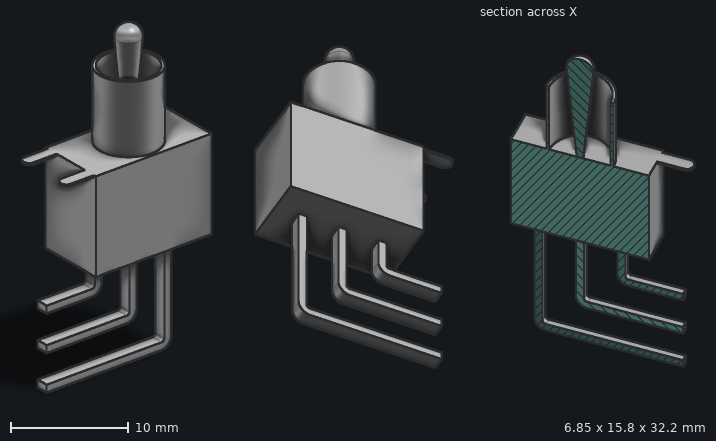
import cadquery as cq

BLOCK_WIDTH = 6.85
BLOCK_LENGTH = 12.7
BLOCK_BOTTOM = 11.25
BLOCK_TOP = 20.93

BARREL_DIAMETER = 6.2
BORE_DIAMETER = 5.6
BARREL_TOP = 28.18
BARREL_HEIGHT = BARREL_TOP - BLOCK_TOP

TOTAL_LENGTH = 15.8
BLOCK_FRONT = -BLOCK_LENGTH / 2
FRONT_END = BLOCK_LENGTH / 2 - TOTAL_LENGTH

TAB_WIDTH = 1.25
TAB_THICKNESS = 0.2
TAB_OFFSET = 2.55

LEVER_TOP = 32.2
BALL_RADIUS = 1.25
SHANK_FOOT_RADIUS = 0.32
BALL_CENTRE = LEVER_TOP - BALL_RADIUS

PIN_COUNT = 3
PIN_PITCH = 3.8
PIN_WIDTH = 1.25
PIN_THICKNESS = 0.77
BEND_INNER_RADIUS = 0.32
BEND_OUTER_RADIUS = BEND_INNER_RADIUS + PIN_THICKNESS


def make_tab(x):
    """Flat tab with a full-round end, running forward from the block."""
    half = TAB_WIDTH / 2
    arc_start = FRONT_END + half
    return (
        cq.Workplane("XY", origin=(x, 0, BLOCK_TOP - TAB_THICKNESS))
        .moveTo(-half, BLOCK_FRONT)
        .lineTo(-half, arc_start)
        .threePointArc((0, FRONT_END), (half, arc_start))
        .lineTo(half, BLOCK_FRONT)
        .close()
        .extrude(TAB_THICKNESS)
    )


def make_housing():
    """Block, hollow barrel and two mounting tabs in one solid."""
    block = (
        cq.Workplane("XY", origin=(0, 0, BLOCK_BOTTOM))
        .rect(BLOCK_WIDTH, BLOCK_LENGTH)
        .extrude(BLOCK_TOP - BLOCK_BOTTOM)
    )
    barrel = (
        cq.Workplane("XY", origin=(0, 0, BLOCK_TOP))
        .circle(BARREL_DIAMETER / 2)
        .circle(BORE_DIAMETER / 2)
        .extrude(BARREL_HEIGHT)
    )
    housing = block.union(barrel)
    for x in (-TAB_OFFSET, TAB_OFFSET):
        housing = housing.union(make_tab(x))
    return housing


def make_lever():
    """Tapered shank with a hemispherical tip, resting on the bore floor."""
    ball_mid = BALL_RADIUS * 0.5 ** 0.5
    return (
        cq.Workplane("XZ")
        .moveTo(0, BLOCK_TOP)
        .lineTo(SHANK_FOOT_RADIUS, BLOCK_TOP)
        .lineTo(BALL_RADIUS, BALL_CENTRE)
        .threePointArc((ball_mid, BALL_CENTRE + ball_mid), (0, LEVER_TOP))
        .close()
        .revolve(360, (0, 0), (0, 1))
    )


def make_pin(index):
    """Right-angle pin; index 0 is the rearmost and reaches lowest."""
    centre_y = ((PIN_COUNT - 1) / 2 - index) * PIN_PITCH
    rear = centre_y + PIN_THICKNESS / 2
    front = rear - PIN_THICKNESS
    bottom = index * PIN_PITCH
    top = bottom + PIN_THICKNESS
    return (
        cq.Workplane("YZ")
        .moveTo(rear, BLOCK_BOTTOM)
        .lineTo(rear, bottom + BEND_OUTER_RADIUS)
        .radiusArc((rear - BEND_OUTER_RADIUS, bottom), BEND_OUTER_RADIUS)
        .lineTo(FRONT_END, bottom)
        .lineTo(FRONT_END, top)
        .lineTo(front - BEND_INNER_RADIUS, top)
        .radiusArc((front, top + BEND_INNER_RADIUS), -BEND_INNER_RADIUS)
        .lineTo(front, BLOCK_BOTTOM)
        .close()
        .extrude(PIN_WIDTH / 2, both=True)
    )


housing = make_housing()
lever = make_lever()
pins = [make_pin(index) for index in range(PIN_COUNT)]

result = cq.Compound.makeCompound([housing.val(), lever.val(), *[pin.val() for pin in pins]])